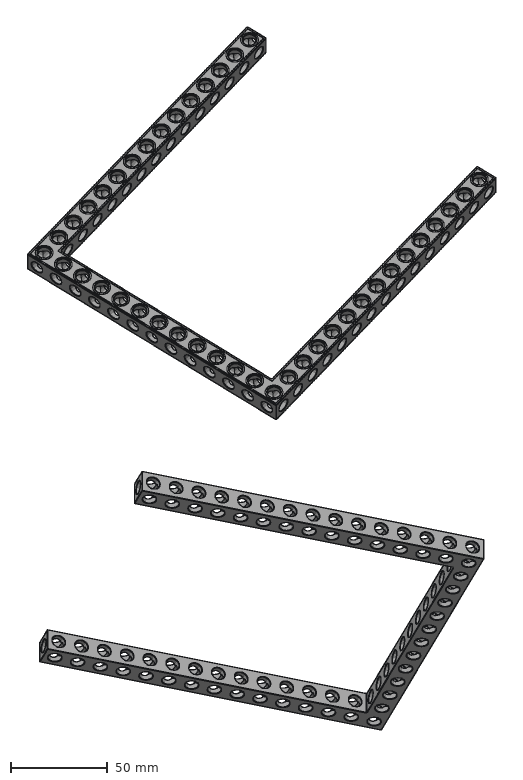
import cadquery as cq

length = 187.5
holes_along_arm = 15
holes_along_base = 13
edge_chamfer = 0.3

ring_diameter = 9.2
land_width = 0.8
panel_depth = 0.2

rim_width = edge_chamfer + land_width
hole_diameter = ring_diameter - 2 * rim_width
pitch = length / holes_along_arm
width = pitch * holes_along_base
bar = pitch
middle = bar / 2

arm_rows = [(row + 0.5) * pitch for row in range(holes_along_arm)]
base_columns = [(column + 0.5) * pitch for column in range(holes_along_base)]
arm_columns = [base_columns[0], base_columns[-1]]
base_row = arm_rows[0]
vertical_centres = [(x, y) for x in arm_columns for y in arm_rows]
vertical_centres += [(x, base_row) for x in base_columns[1:-1]]

across = cq.Vector(1, 0, 0)
along = cq.Vector(0, 1, 0)
up = cq.Vector(0, 0, 1)


def u_outline(inset):
    """U-shaped outline, open at +Y, moved inwards from the frame's sides by the inset."""
    near = inset
    far = bar - inset
    return cq.Workplane("XY").polyline([
        (near, near),
        (width - near, near),
        (width - near, length - near),
        (width - far, length - near),
        (width - far, far),
        (far, far),
        (far, length - near),
        (near, length - near),
    ]).close()


def frame():
    """Solid frame with its outer corner at the origin and every edge broken."""
    return u_outline(0).extrude(bar).edges().chamfer(edge_chamfer)


def top_panel():
    """Material removed from the top face between the rim and the rings around the holes."""
    panel = u_outline(rim_width).extrude(panel_depth)
    rings = cq.Workplane("XY").pushPoints(vertical_centres).circle(ring_diameter / 2).extrude(panel_depth)
    return panel.cut(rings).translate((0, 0, bar - panel_depth)).vals()


def bore(x, y, z, axis, depth):
    return cq.Solid.makeCylinder(hole_diameter / 2, depth, cq.Vector(x, y, z), axis)


def mouth(x, y, z, inward):
    """Small chamfer where a bore opens on a face; inward points into the material."""
    radius = hole_diameter / 2
    return cq.Solid.makeCone(radius + edge_chamfer, radius, edge_chamfer, cq.Vector(x, y, z), inward)


def vertical_holes():
    """Holes along Z through both arms and the base."""
    cutters = []
    for x, y in vertical_centres:
        cutters.append(bore(x, y, 0, up, bar))
        cutters.append(mouth(x, y, 0, up))
        cutters.append(mouth(x, y, bar, -up))
    return cutters


def holes_across():
    """Holes along X through both arms; the first one also runs the whole length of the base."""
    cutters = []
    for y in arm_rows:
        cutters.append(bore(0, y, middle, across, width))
        cutters.append(mouth(0, y, middle, across))
        cutters.append(mouth(width, y, middle, -across))
        if y > bar:
            cutters.append(mouth(bar, y, middle, -across))
            cutters.append(mouth(width - bar, y, middle, across))
    return cutters


def holes_along():
    """Holes along Y through the base; the outer two also run the whole length of the arms."""
    cutters = []
    for x in base_columns:
        in_arm = x in arm_columns
        far_face = length if in_arm else bar
        cutters.append(bore(x, 0, middle, along, far_face))
        cutters.append(mouth(x, 0, middle, along))
        cutters.append(mouth(x, far_face, middle, -along))
    return cutters


body = frame().val().cut(*top_panel())
result = cq.Workplane("XY").newObject([body.cut(*vertical_holes(), *holes_across(), *holes_along())])